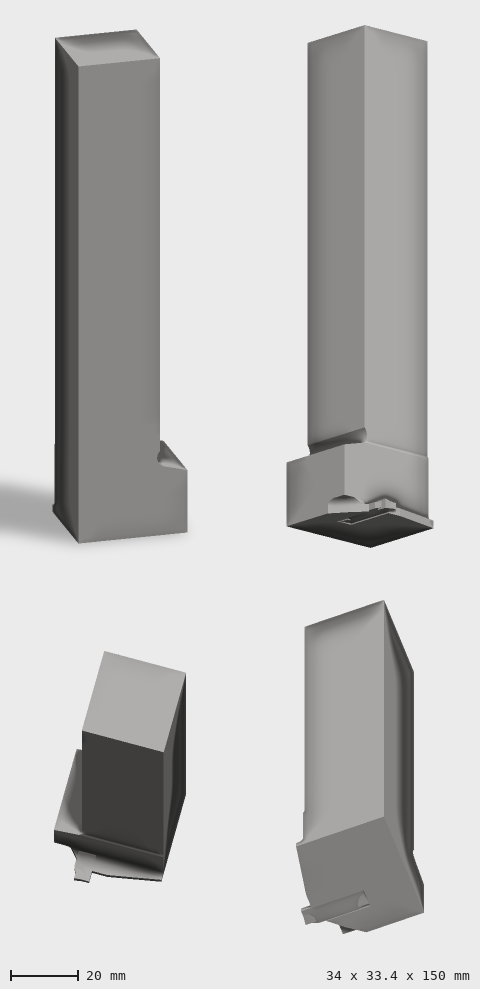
import cadquery as cq
import math

TOTAL_HEIGHT = 150.0
SHANK_SIDE = TOTAL_HEIGHT / 6
HOLDER_BASE = 0.05
HEAD_OVERHANG = 8.4
HEAD_STEP = 0.5
HEAD_CHAMFER_LOW = 21.8
HEAD_CHAMFER_HIGH = 22.6

SHOULDER_ANGLE = math.radians(15)
SHOULDER_EDGE = 19.6
RELIEF_RADIUS = 3.0
RELIEF_DEPTH = 0.9

BLADE_TOP = 2.4
BLADE_TIP_X = -5.4
BLADE_TAPER_START = 15.8
BLADE_TAPER_ANGLE = math.radians(10)
BLADE_FILLET = 1.8
GAP_HEIGHT = 1.4

JAW_TIP_X = -2.8
JAW_WALLS = [(26.7, 51), (29.4, 49), (37.5, 54)]

INSERT_TIP_X = -9.0
INSERT_LENGTH = 20.0
INSERT_BOTTOM_Y = 20.4
INSERT_TOP_Y = 25.8
RAKE_Y = 24.9
TIP_WIDTH = 2.8
BODY_WIDTH = 2.0
RAKE_LENGTH = 1.6
CHIPBREAKER_LENGTH = 3.6
CLEARANCE_DEPTH = 2.2
CLEARANCE_ANGLE = math.radians(7)
TIP_RADIUS = 3.3

head_depth = SHANK_SIDE + HEAD_OVERHANG
head_face_x = -HEAD_STEP
fillet_top = BLADE_TOP + BLADE_FILLET
tip_mid_z = TIP_WIDTH / 2
body_bottom = tip_mid_z - BODY_WIDTH / 2
body_top = tip_mid_z + BODY_WIDTH / 2
insert_mid_x = INSERT_TIP_X + INSERT_LENGTH / 2


def box(x_range, y_range, z_range):
    """Axis-aligned block given by its limits."""
    return cq.Workplane("XY").box(
        x_range[1] - x_range[0], y_range[1] - y_range[0], z_range[1] - z_range[0], centered=False
    ).translate((x_range[0], y_range[0], z_range[0]))


def side_profile():
    """Shank and head outline in YZ, extruded across the full holder width."""
    centre_y = SHANK_SIDE - RELIEF_DEPTH + RELIEF_RADIUS
    tangent_y = centre_y - RELIEF_RADIUS * math.sin(SHOULDER_ANGLE)
    tangent_z = SHOULDER_EDGE + (head_depth - tangent_y) * math.tan(SHOULDER_ANGLE)
    centre_z = tangent_z + RELIEF_RADIUS * math.cos(SHOULDER_ANGLE)
    relief_end_z = centre_z + math.sqrt(RELIEF_RADIUS**2 - (centre_y - SHANK_SIDE) ** 2)
    return (
        cq.Workplane("YZ")
        .workplane(offset=head_face_x)
        .moveTo(0, HOLDER_BASE)
        .lineTo(head_depth, HOLDER_BASE)
        .lineTo(head_depth, SHOULDER_EDGE)
        .lineTo(tangent_y, tangent_z)
        .threePointArc((centre_y - RELIEF_RADIUS, centre_z), (SHANK_SIDE, relief_end_z))
        .lineTo(SHANK_SIDE, TOTAL_HEIGHT)
        .lineTo(0, TOTAL_HEIGHT)
        .close()
        .extrude(SHANK_SIDE + HEAD_STEP)
    )


def shank_setback():
    """Material removed from the -X side above the head, ending in a small chamfer."""
    return (
        cq.Workplane("XZ")
        .polyline([
            (head_face_x, HEAD_CHAMFER_LOW),
            (0, HEAD_CHAMFER_HIGH),
            (0, TOTAL_HEIGHT),
            (head_face_x, TOTAL_HEIGHT),
        ])
        .close()
        .extrude(-head_depth)
    )


def blade():
    """Ledge along the head's lower edge, blended into the head by a fillet."""
    corner_x = head_face_x - BLADE_FILLET
    arc_offset = BLADE_FILLET * math.sqrt(0.5)
    section = (
        cq.Workplane("XZ")
        .moveTo(BLADE_TIP_X, HOLDER_BASE)
        .lineTo(head_face_x, HOLDER_BASE)
        .lineTo(head_face_x, fillet_top)
        .threePointArc((corner_x + arc_offset, fillet_top - arc_offset), (corner_x, BLADE_TOP))
        .lineTo(BLADE_TIP_X, BLADE_TOP)
        .close()
        .extrude(-head_depth)
    )
    taper = (
        cq.Workplane("XY")
        .polyline([
            (BLADE_TIP_X, 0),
            (BLADE_TIP_X + BLADE_TAPER_START * math.tan(BLADE_TAPER_ANGLE), 0),
            (BLADE_TIP_X, BLADE_TAPER_START),
        ])
        .close()
        .extrude(fillet_top)
    )
    return section.cut(taper)


def jaw_relief():
    """Space behind the upper jaw: slanting walls meeting a flat roof in a fillet."""
    wall_points = [(JAW_TIP_X, INSERT_TOP_Y)]
    for end_y, angle in JAW_WALLS:
        start_x, start_y = wall_points[-1]
        end_x = start_x + (end_y - start_y) * math.tan(math.radians(angle))
        wall_points.append((end_x, end_y))
    far_y = wall_points[-1][1]
    outer_points = [(INSERT_TIP_X, far_y), (INSERT_TIP_X, INSERT_TOP_Y)]
    relief = cq.Workplane("XY").polyline(wall_points + outer_points).close().extrude(fillet_top)
    roof_edges = cq.Workplane("XY")
    for start, end in zip(wall_points, wall_points[1:]):
        middle = ((start[0] + end[0]) / 2, (start[1] + end[1]) / 2, fillet_top)
        roof_edges.add(relief.edges(cq.selectors.NearestToPointSelector(middle)))
    rounded = relief.val().fillet(BLADE_FILLET, roof_edges.vals())
    return cq.Workplane(rounded)


def insert_seat():
    """Slot for the insert, open below, and the gap over the insert in front of the head."""
    y_range = (INSERT_BOTTOM_Y, INSERT_TOP_Y)
    slot = box((INSERT_TIP_X, INSERT_TIP_X + INSERT_LENGTH), y_range, (0, BLADE_TOP))
    gap = box((INSERT_TIP_X, head_face_x), y_range, (0, BLADE_TOP + GAP_HEIGHT))
    return slot.union(gap)


def insert_tip():
    """Plan shape of the wide cutting end, with its rounded run-out into the body."""
    runout_y = RAKE_Y - TIP_RADIUS
    round_x = INSERT_TIP_X + TIP_RADIUS
    arc_offset = TIP_RADIUS * math.sqrt(0.5)
    return (
        cq.Workplane("XY")
        .moveTo(INSERT_TIP_X, RAKE_Y)
        .lineTo(INSERT_TIP_X, runout_y)
        .threePointArc((INSERT_TIP_X + arc_offset, RAKE_Y - arc_offset), (round_x, RAKE_Y))
        .close()
        .extrude(TIP_WIDTH)
    )


def insert():
    """Slim body with a wide tip at each end, tip sides narrowing below the cutting edge."""
    foot_x = CLEARANCE_DEPTH * math.tan(CLEARANCE_ANGLE)
    clearance_end_y = RAKE_Y - CLEARANCE_DEPTH
    left = [
        (INSERT_TIP_X + foot_x, INSERT_BOTTOM_Y),
        (INSERT_TIP_X + foot_x, clearance_end_y),
        (INSERT_TIP_X, RAKE_Y),
        (INSERT_TIP_X + RAKE_LENGTH, RAKE_Y),
        (INSERT_TIP_X + CHIPBREAKER_LENGTH, INSERT_TOP_Y),
    ]
    right = [(2 * insert_mid_x - x, y) for x, y in reversed(left)]
    outline = cq.Workplane("XY").polyline(left + right).close().extrude(TIP_WIDTH)
    taper_bottom_y = RAKE_Y - TIP_RADIUS
    wedge = (
        cq.Workplane("YZ")
        .workplane(offset=INSERT_TIP_X)
        .polyline([
            (taper_bottom_y, body_bottom),
            (RAKE_Y, 0),
            (RAKE_Y, TIP_WIDTH),
            (taper_bottom_y, body_top),
        ])
        .close()
        .extrude(INSERT_LENGTH)
    )
    near_tip = insert_tip()
    far_tip = near_tip.mirror("YZ", (insert_mid_x, 0, 0))
    tips = near_tip.union(far_tip).intersect(wedge)
    x_range = (INSERT_TIP_X, INSERT_TIP_X + INSERT_LENGTH)
    body = box(x_range, (INSERT_BOTTOM_Y, INSERT_TOP_Y), (body_bottom, body_top))
    return body.union(tips).intersect(outline)


cutting_insert = insert()
holder = (
    side_profile()
    .cut(shank_setback())
    .union(blade())
    .cut(jaw_relief())
    .cut(insert_seat())
    .cut(cutting_insert)
)

result = cq.Compound.makeCompound([holder.solids().val(), cutting_insert.solids().val()])